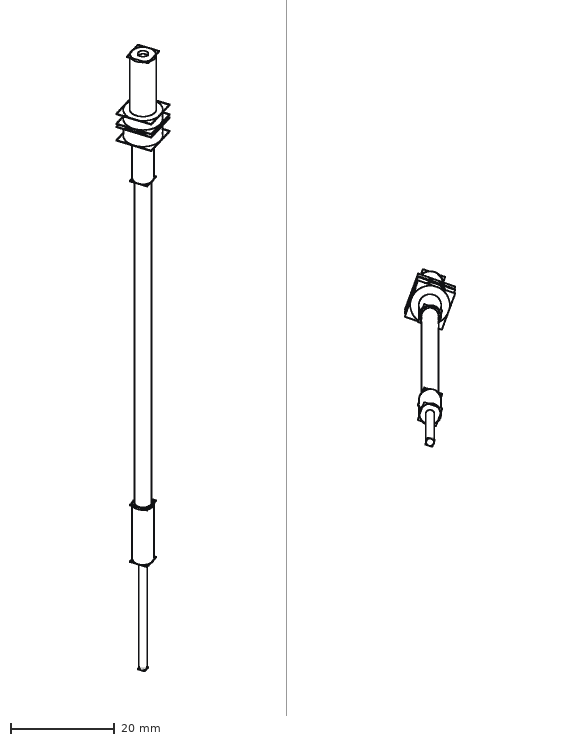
import cadquery as cq

TOTAL_LENGTH = 144.4
SLEEVE_BOTTOM = 25.5
SLEEVE_TOP = 39.0
CRIMP_BOTTOM = 115.0
COLLAR_BOTTOM = 125.0
COLLAR_TOP = 131.4

BARREL_DIAMETER = 5.2
BORE_DIAMETER = 2.0
COLLAR_DIAMETER = 7.7
CRIMP_DIAMETER = 4.3
TUBE_DIAMETER = 3.3
SLEEVE_DIAMETER = 4.3
WIRE_DIAMETER = 1.7

EDGE_CHAMFER = 0.3
PLATE_THICKNESS = 0.1
GROOVE_MIDDLE = 128.7
GROOVE_WIDTH = 0.6
GROOVE_DEPTH = 0.1
BORE_DEPTH = 0.7
TIP_TAPER_HEIGHT = 0.7
TIP_TAPER_INSET = 0.1


def cylinder(diameter, bottom, top):
    """Round bar on the Z axis between two heights."""
    return cq.Workplane("XY", origin=(0, 0, bottom)).circle(diameter / 2).extrude(top - bottom)


def square_plate(side, bottom):
    """Thin square plate centred on the Z axis."""
    return cq.Workplane("XY", origin=(0, 0, bottom)).rect(side, side).extrude(PLATE_THICKNESS)


def end_plate_side(diameter):
    """Side of a square plate that spans the flat end of a chamfered bar."""
    return diameter - 2 * EDGE_CHAMFER


def make_collar():
    """Round collar with a shallow groove near mid-height and square plates at its rims and groove walls."""
    groove_bottom = GROOVE_MIDDLE - GROOVE_WIDTH / 2
    groove_top = groove_bottom + GROOVE_WIDTH
    collar = cylinder(COLLAR_DIAMETER - 2 * GROOVE_DEPTH, COLLAR_BOTTOM, COLLAR_TOP)
    for rim_bottom, rim_top in ((COLLAR_BOTTOM, groove_bottom), (groove_top, COLLAR_TOP)):
        collar = collar.union(cylinder(COLLAR_DIAMETER, rim_bottom, rim_top))
        for plate_bottom in (rim_bottom, rim_top - PLATE_THICKNESS):
            collar = collar.union(square_plate(COLLAR_DIAMETER, plate_bottom))
    return collar


def make_head():
    """Barrel with a shallow end bore, collar and crimp neck in one piece."""
    barrel = cylinder(BARREL_DIAMETER, COLLAR_TOP, TOTAL_LENGTH).faces(">Z").chamfer(EDGE_CHAMFER)
    barrel = barrel.union(square_plate(end_plate_side(BARREL_DIAMETER), TOTAL_LENGTH - PLATE_THICKNESS))
    barrel = barrel.cut(cylinder(BORE_DIAMETER, TOTAL_LENGTH - BORE_DEPTH, TOTAL_LENGTH))
    crimp = cylinder(CRIMP_DIAMETER, CRIMP_BOTTOM, COLLAR_BOTTOM).faces("<Z").chamfer(EDGE_CHAMFER)
    crimp = crimp.union(square_plate(end_plate_side(CRIMP_DIAMETER), CRIMP_BOTTOM))
    return make_collar().union(barrel).union(crimp)


def make_tube():
    """Plain tube body between the sleeve and the head."""
    return cylinder(TUBE_DIAMETER, SLEEVE_TOP, CRIMP_BOTTOM)


def make_sleeve():
    """Sleeve chamfered at both ends, each end carrying a thin square plate."""
    sleeve = cylinder(SLEEVE_DIAMETER, SLEEVE_BOTTOM, SLEEVE_TOP).faces("<Z or >Z").chamfer(EDGE_CHAMFER)
    for plate_bottom in (SLEEVE_BOTTOM, SLEEVE_TOP - PLATE_THICKNESS):
        sleeve = sleeve.union(square_plate(end_plate_side(SLEEVE_DIAMETER), plate_bottom))
    return sleeve


def make_wire():
    """Thin wire with a slightly tapered tip and a square plate at its free end."""
    wire = cylinder(WIRE_DIAMETER, 0, SLEEVE_BOTTOM)
    wire = wire.faces("<Z").chamfer(TIP_TAPER_HEIGHT, TIP_TAPER_INSET)
    return wire.union(square_plate(WIRE_DIAMETER - 2 * TIP_TAPER_INSET, 0))


head = make_head()
tube = make_tube()
sleeve = make_sleeve()
wire = make_wire()

result = cq.Compound.makeCompound([head.val(), tube.val(), sleeve.val(), wire.val()])